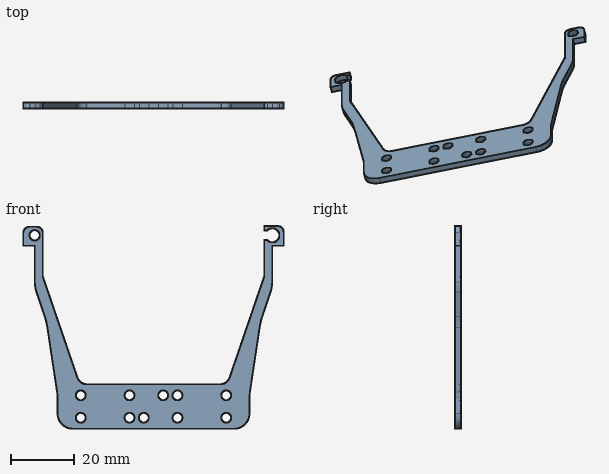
import cadquery as cq


thickness = 2.0
span = 82.0
height = 63.9

base_width = 60.5
base_top = 14.1
base_corner_radius = 5.0
base_side_height = 10.9
inner_corner_radius = 3.0

arm_outer_x = 37.4
arm_inner_x = 34.8
outer_bend_z = 44.7
inner_bend_z = 47.9
knee_x = 33.7
knee_z = 33.8
arm_foot_x = 23.2
bend_radius = 10.0
knee_radius = 2 * bend_radius

tab_bottom = 57.6
hole_tab_top = 63.6
tab_corner_radius = 2.0
pivot_x = 37.4
pivot_z = 60.9
pivot_hole_diameter = 3.2
hook_hole_diameter = 4.35
hook_slot_width = 2.9
slot_overrun = 0.8

mount_hole_diameter = 3.0
upper_row_z = 10.6
lower_row_z = 3.5
end_hole_x = 22.9
middle_hole_x = 7.55
extra_hole_x = 3.0
shared_hole_x = [-end_hole_x, -middle_hole_x, middle_hole_x, end_hole_x]


def plate(points):
    """Extrude an outline in the XZ plane, centred on Y = 0."""
    return cq.Workplane("XZ").polyline(points).close().extrude(thickness / 2, both=True)


def through_cylinders(points, diameter):
    """Round cutters along Y at the given (x, z) points."""
    return cq.Workplane("XZ").pushPoints(points).circle(diameter / 2).extrude(thickness, both=True)


def round_edge(body, x, z, radius):
    """Round the through-thickness edge nearest to (x, z)."""
    return body.edges("|Y").edges(cq.selectors.NearestToPointSelector((x, 0, z))).fillet(radius)


def half_outline(side, tab_top):
    """Outline points of one half, from the base corner up and round the tab to the arm foot."""
    half = [
        (base_width / 2, 0),
        (base_width / 2, base_side_height),
        (knee_x, knee_z),
        (arm_outer_x, outer_bend_z),
        (arm_outer_x, tab_bottom),
        (span / 2, tab_bottom),
        (span / 2, tab_top),
        (arm_inner_x, tab_top),
        (arm_inner_x, inner_bend_z),
        (arm_foot_x, base_top),
    ]
    return [(side * x, z) for x, z in half]


body = plate(half_outline(1, height) + half_outline(-1, hole_tab_top)[::-1])

for side, tab_top in ((1, height), (-1, hole_tab_top)):
    body = round_edge(body, side * base_width / 2, 0, base_corner_radius)
    body = round_edge(body, side * base_width / 2, base_side_height, bend_radius)
    body = round_edge(body, side * knee_x, knee_z, knee_radius)
    body = round_edge(body, side * arm_outer_x, outer_bend_z, bend_radius)
    body = round_edge(body, side * arm_foot_x, base_top, inner_corner_radius)
    body = round_edge(body, side * span / 2, tab_top, tab_corner_radius)
body = round_edge(body, -arm_inner_x, hole_tab_top, tab_corner_radius)

upper_holes = [(x, upper_row_z) for x in shared_hole_x + [extra_hole_x]]
lower_holes = [(x, lower_row_z) for x in shared_hole_x + [-extra_hole_x]]
body = body.cut(through_cylinders(upper_holes + lower_holes, mount_hole_diameter))

body = body.cut(through_cylinders([(-pivot_x, pivot_z)], pivot_hole_diameter))

slot_start_x = arm_inner_x - slot_overrun
slot_length = pivot_x - slot_start_x
hook_slot = cq.Workplane("XY").box(slot_length, 2 * thickness, hook_slot_width)
hook_slot = hook_slot.translate((slot_start_x + slot_length / 2, 0, pivot_z))
body = body.cut(through_cylinders([(pivot_x, pivot_z)], hook_hole_diameter))
body = body.cut(hook_slot)

result = body